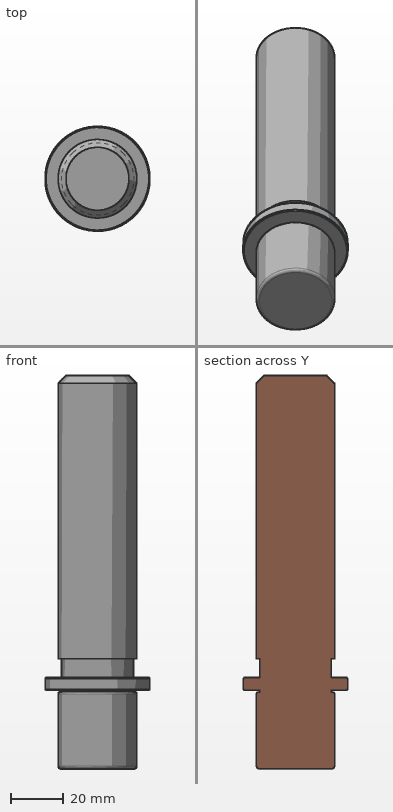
import cadquery as cq

total_length = 150.0
pin_diameter = 30.0
neck_diameter = 27.6
collar_diameter = 40.0

collar_bottom = 30.0
collar_thickness = 5.0
shaft_bottom = 42.0
undercut_height = 0.6

tip_chamfer = 3.0
collar_chamfer = 0.5
shank_top_rounding = 0.8

collar_top = collar_bottom + collar_thickness
shank_top = collar_bottom - undercut_height
shank_bottom_rounding = (pin_diameter - neck_diameter) / 2


def cylinder(diameter, bottom, top):
    """Solid cylinder on the Z axis between two heights."""
    return cq.Workplane("XY").workplane(offset=bottom).circle(diameter / 2).extrude(top - bottom)


shank = cylinder(pin_diameter, 0, shank_top)
shank = shank.faces("<Z").edges().fillet(shank_bottom_rounding)
shank = shank.faces(">Z").edges().fillet(shank_top_rounding)

undercut = cylinder(neck_diameter, shank_top, collar_bottom)

collar = cylinder(collar_diameter, collar_bottom, collar_top).edges().chamfer(collar_chamfer)

neck = cylinder(neck_diameter, collar_top, shaft_bottom)

shaft = cylinder(pin_diameter, shaft_bottom, total_length).faces(">Z").edges().chamfer(tip_chamfer)

result = shank.union(undercut).union(collar).union(neck).union(shaft)